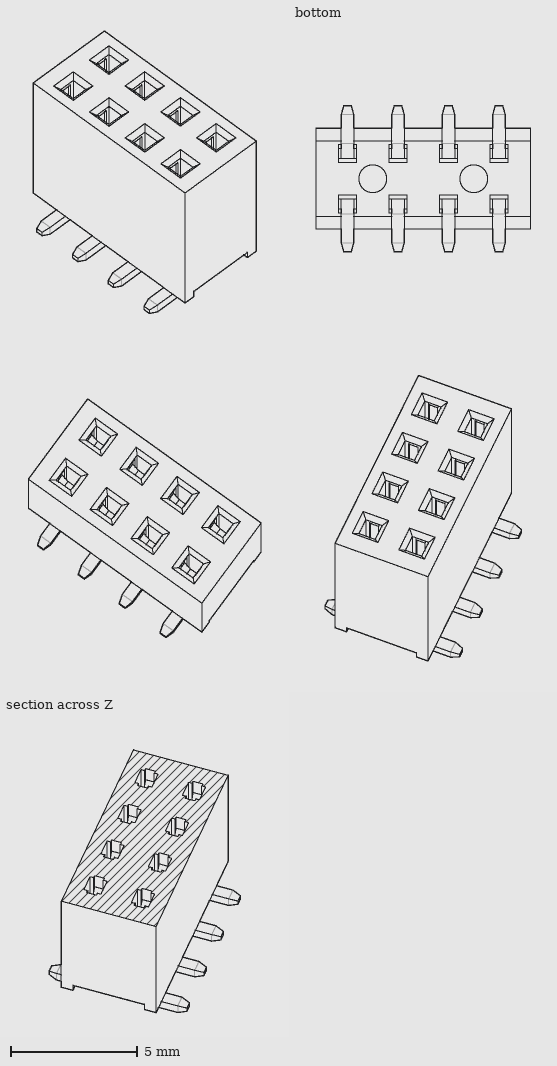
import cadquery as cq
import math

PITCH = 2.0
COLUMNS = 4
COLUMN_X = [(i - (COLUMNS - 1) / 2) * PITCH for i in range(COLUMNS)]
ROW_Y = PITCH / 2

HOUSING_LENGTH = 8.5
HOUSING_WIDTH = 4.0
HOUSING_HEIGHT = 6.35
FOOT_Z = 0.85
FOOT_WIDTH = 0.5
FOOT_HEIGHT = 0.3
FLOOR_Z = FOOT_Z + FOOT_HEIGHT
TOP_Z = FOOT_Z + HOUSING_HEIGHT

PEG_RADIUS = 0.55
PEG_X = PITCH
OVERALL_HEIGHT = 8.45
PEG_BOTTOM_Z = TOP_Z - OVERALL_HEIGHT

MOUTH_SIZE = 1.1
SOCKET_SIZE = 0.7
MOUTH_DEPTH = (MOUTH_SIZE - SOCKET_SIZE) / 2

SLOT_WIDTH = 0.92
SLOT_COVER = 0.15
SLOT_TOP_Z = TOP_Z - MOUTH_DEPTH - SLOT_COVER
SLOT_DEPTH = 3.5
SLOT_BOTTOM_Z = SLOT_TOP_Z - SLOT_DEPTH

METAL_THICKNESS = 0.4
BLOCK_HEIGHT = 2.0
NOTCH_FLOOR_WIDTH = 0.36
NOTCH_DEPTH = 0.5
LEAD_WIDTH = 0.5
BEND_INNER_RADIUS = 0.2
BEND_OUTER_RADIUS = BEND_INNER_RADIUS + METAL_THICKNESS
TAIL_TIP_Y = 2.9
TAPER_LENGTH = 0.35
TAPER_INSET = 0.1


def make_box(x_size, y_size, z_bottom, z_top):
    """Box centred on the Z axis, between two heights."""
    return cq.Workplane("XY").workplane(offset=z_bottom).rect(x_size, y_size).extrude(z_top - z_bottom)


def make_housing():
    """Block with a channel along X that leaves a foot on each long side."""
    block = make_box(HOUSING_LENGTH, HOUSING_WIDTH, FOOT_Z, TOP_Z)
    channel = make_box(HOUSING_LENGTH, HOUSING_WIDTH - 2 * FOOT_WIDTH, FOOT_Z, FLOOR_Z)
    return block.cut(channel)


def make_socket():
    """Space cut from the housing for one contact, centred on the Z axis."""
    bore = make_box(SOCKET_SIZE, SOCKET_SIZE, FLOOR_Z, TOP_Z)
    mouth = (
        cq.Workplane("XY")
        .workplane(offset=TOP_Z)
        .rect(MOUTH_SIZE, MOUTH_SIZE)
        .workplane(offset=-MOUTH_DEPTH)
        .rect(SOCKET_SIZE, SOCKET_SIZE)
        .loft(ruled=True)
    )
    slot = make_box(SLOT_WIDTH, METAL_THICKNESS, SLOT_BOTTOM_Z, SLOT_TOP_Z)
    return bore.union(mouth).union(slot)


def make_contact_block():
    """Block at the bottom of the slot with a tapered notch in its top."""
    top_z = SLOT_BOTTOM_Z + BLOCK_HEIGHT
    notch_z = top_z - NOTCH_DEPTH
    half_width = SLOT_WIDTH / 2
    half_floor = NOTCH_FLOOR_WIDTH / 2
    return (
        cq.Workplane("XZ")
        .moveTo(-half_width, SLOT_BOTTOM_Z)
        .lineTo(half_width, SLOT_BOTTOM_Z)
        .lineTo(half_width, top_z)
        .lineTo(half_floor, notch_z)
        .lineTo(-half_floor, notch_z)
        .lineTo(-half_width, top_z)
        .close()
        .extrude(METAL_THICKNESS / 2, both=True)
    )


def make_lead():
    """Lead bent outward along +Y, with a tapered end; its upright is on the Z axis."""
    half_metal = METAL_THICKNESS / 2
    taper_start_y = TAIL_TIP_Y - TAPER_LENGTH - ROW_Y
    bend_center_y = half_metal + BEND_INNER_RADIUS
    bend_center_z = BEND_OUTER_RADIUS
    outer_reach = BEND_OUTER_RADIUS * math.sqrt(0.5)
    inner_reach = BEND_INNER_RADIUS * math.sqrt(0.5)
    bent_strip = (
        cq.Workplane("YZ")
        .moveTo(-half_metal, SLOT_BOTTOM_Z)
        .lineTo(-half_metal, bend_center_z)
        .threePointArc(
            (bend_center_y - outer_reach, bend_center_z - outer_reach),
            (bend_center_y, 0),
        )
        .lineTo(taper_start_y, 0)
        .lineTo(taper_start_y, METAL_THICKNESS)
        .lineTo(bend_center_y, METAL_THICKNESS)
        .threePointArc(
            (bend_center_y - inner_reach, bend_center_z - inner_reach),
            (half_metal, bend_center_z),
        )
        .lineTo(half_metal, SLOT_BOTTOM_Z)
        .close()
        .extrude(LEAD_WIDTH / 2, both=True)
    )
    tip = (
        cq.Workplane("XZ", origin=(0, taper_start_y, METAL_THICKNESS / 2))
        .rect(LEAD_WIDTH, METAL_THICKNESS)
        .workplane(offset=-TAPER_LENGTH)
        .rect(LEAD_WIDTH - 2 * TAPER_INSET, METAL_THICKNESS - 2 * TAPER_INSET)
        .loft(ruled=True)
    )
    return bent_strip.union(tip)


def make_peg():
    """Round peg with a hemispherical end, standing on the Z axis."""
    dome_z = PEG_BOTTOM_Z + PEG_RADIUS
    shaft = cq.Workplane("XY").workplane(offset=dome_z).circle(PEG_RADIUS).extrude(FLOOR_Z - dome_z)
    dome = cq.Workplane("XY").sphere(PEG_RADIUS).translate((0, 0, dome_z))
    return shaft.union(dome)


def place_in_grid(shape, column_x, side):
    """Move a shape to a grid position; the -Y row is turned half a revolution."""
    turn = 0 if side > 0 else 180
    return shape.rotate((0, 0, 0), (0, 0, 1), turn).translate((column_x, side * ROW_Y, 0))


socket = make_socket()
contact = make_contact_block().union(make_lead())
peg = make_peg()

result = make_housing()
for column_x in COLUMN_X:
    for side in (1, -1):
        result = result.cut(place_in_grid(socket, column_x, side))
        result = result.union(place_in_grid(contact, column_x, side))

for peg_x in (-PEG_X, PEG_X):
    result = result.union(peg.translate((peg_x, 0, 0)))